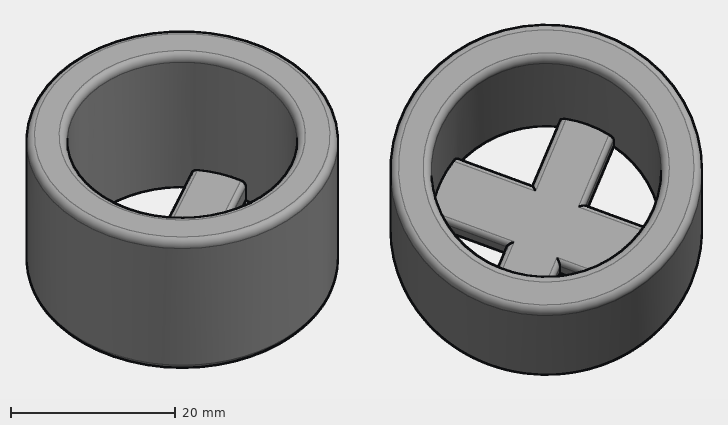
import cadquery as cq

outer_diameter = 38.0
bore_diameter = 28.0
height = 22.0
top_edge_radius = 1.0
bottom_chamfer = 1.0
chamfer_blend_radius = 1.0

x_arm_width = 8.5
y_arm_width = 7.0
cross_thickness = 3.0
cross_edge_radius = 0.7

cross_end_diameter = (outer_diameter + bore_diameter) / 2


def make_ring():
    """Tube with rounded top edges and a chamfered bottom edge blended into the side."""
    body = cq.Workplane("XY").circle(outer_diameter / 2).extrude(height)
    body = body.faces("<Z").edges().chamfer(bottom_chamfer)

    body = body.faces("%CONE").edges(">Z").fillet(chamfer_blend_radius)

    bore = cq.Workplane("XY").circle(bore_diameter / 2).extrude(height)
    return body.cut(bore).faces(">Z").edges().fillet(top_edge_radius)


def make_cross():
    """Two crossing bars with rounded top edges, trimmed to end inside the ring wall."""
    bar_length = outer_diameter
    centered = (True, True, False)
    x_bar = cq.Workplane("XY").box(bar_length, x_arm_width, cross_thickness, centered=centered)
    y_bar = cq.Workplane("XY").box(y_arm_width, bar_length, cross_thickness, centered=centered)
    rounded_bars = x_bar.edges("|X and >Z").fillet(cross_edge_radius).union(
        y_bar.edges("|Y and >Z").fillet(cross_edge_radius)
    )
    trim = cq.Workplane("XY").circle(cross_end_diameter / 2).extrude(cross_thickness)
    return rounded_bars.intersect(trim)


result = make_ring().union(make_cross())